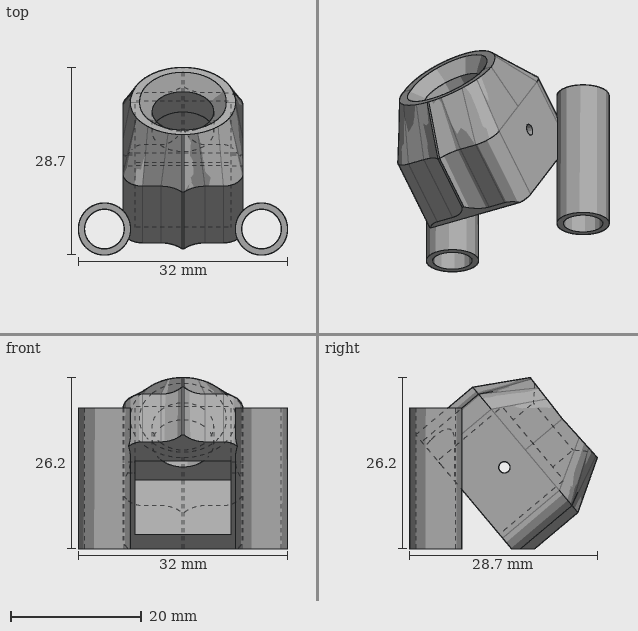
import cadquery as cq
import math

TUBE_DIAMETER = 8.0
TUBE_BORE = 6.0
TUBE_HEIGHT = 21.57
TUBE_SPACING = 24.0

TILT = 50.0
AXIS_OFFSET = 2.8
FRONT = 8.9
SHOULDER = 20.22
MOUTH = 27.9

HALF_WIDTH = 9.2
HALF_HEIGHT = 11.1
CORNER_RADIUS = 3.0
RIDGE_HEIGHT = 1.4
RIDGE_HALF_WIDTH = 3.35
CREST_HALF_WIDTH = 0.15

MOUTH_RADIUS = 8.0
MOUTH_DIP = 0.3
RIDGE_MOUTH_ANGLE = 73.5
FLAT_MOUTH_ANGLE = 48.0
SIDE_MOUTH_ANGLE = 28.0

COUNTERSINK_RADIUS = 6.9
BORE_RADIUS = 4.7
COUNTERSINK_END = 25.8
POCKET_SIZE = 14.65
POCKET_END = 21.75
PIN_DIAMETER = 1.7
PIN_STATION = 16.05


def quadrant_nodes():
    """Section points from the side middle up to the crest corner, with the arc midpoints."""
    corner_x = HALF_WIDTH - CORNER_RADIUS
    corner_y = HALF_HEIGHT - CORNER_RADIUS
    diagonal = CORNER_RADIUS * math.sqrt(0.5)
    flank_width = RIDGE_HALF_WIDTH - CREST_HALF_WIDTH
    flank_radius = (flank_width**2 + RIDGE_HEIGHT**2) / (2 * RIDGE_HEIGHT)
    mid_x = flank_width / 2
    mid_rise = flank_radius - math.sqrt(flank_radius**2 - mid_x**2)
    nodes = [
        (HALF_WIDTH, 0),
        (HALF_WIDTH, corner_y),
        (corner_x, HALF_HEIGHT),
        (RIDGE_HALF_WIDTH, HALF_HEIGHT),
        (CREST_HALF_WIDTH, HALF_HEIGHT + RIDGE_HEIGHT),
    ]
    arc_middles = [
        None,
        (corner_x + diagonal, corner_y + diagonal),
        None,
        (RIDGE_HALF_WIDTH - mid_x, HALF_HEIGHT + mid_rise),
    ]
    return nodes, arc_middles


def mouth_nodes():
    """Mouth circle points that pair with the section points, with the arc midpoints."""
    crest_angle = math.degrees(math.acos(CREST_HALF_WIDTH / MOUTH_RADIUS))
    angles = [0, SIDE_MOUTH_ANGLE, FLAT_MOUTH_ANGLE, RIDGE_MOUTH_ANGLE, crest_angle]
    middles = [(a + b) / 2 for a, b in zip(angles, angles[1:])]

    def on_circle(angle):
        turn = math.radians(angle)
        return (MOUTH_RADIUS * math.cos(turn), MOUTH_RADIUS * math.sin(turn))

    return [on_circle(a) for a in angles], [on_circle(a) for a in middles]


def closed_outline(nodes, arc_middles, station):
    """Mirror a quadrant into a closed wire at a station along the housing axis."""
    edges = []
    for sign_x, sign_y in [(1, 1), (-1, 1), (-1, -1), (1, -1)]:
        quadrant = []
        for start, middle, end in zip(nodes, arc_middles, nodes[1:]):
            points = [start, end] if middle is None else [start, middle, end]
            points = [cq.Vector(sign_x * x, sign_y * y, station) for x, y in points]
            if sign_x * sign_y < 0:
                points.reverse()
            make_edge = cq.Edge.makeLine if middle is None else cq.Edge.makeThreePointArc
            quadrant.append(make_edge(*points))
        if sign_x * sign_y < 0:
            quadrant.reverse()
        edges += quadrant
        if sign_x * sign_y > 0:
            crest_x, crest_y = nodes[-1]
            crest_start = cq.Vector(sign_x * crest_x, sign_y * crest_y, station)
            crest_end = cq.Vector(-sign_x * crest_x, sign_y * crest_y, station)
            edges.append(cq.Edge.makeLine(crest_start, crest_end))
    return cq.Wire.assembleEdges(edges)


def housing_shell():
    front_wire = closed_outline(*quadrant_nodes(), FRONT)
    shoulder_wire = closed_outline(*quadrant_nodes(), SHOULDER)
    mouth_wire = closed_outline(*mouth_nodes(), MOUTH)
    barrel = cq.Solid.extrudeLinear(front_wire, [], cq.Vector(0, 0, SHOULDER - FRONT))
    taper = cq.Solid.makeLoft([shoulder_wire, mouth_wire], True)
    return cq.Workplane(barrel).union(cq.Workplane(taper))


def mouth_dip():
    reach = 2 * MOUTH_RADIUS
    top = MOUTH + MOUTH_DIP
    return (
        cq.Workplane("YZ")
        .polyline([(-reach, top), (0, MOUTH - MOUTH_DIP), (reach, top)])
        .close()
        .extrude(HALF_WIDTH, both=True)
    )


def mouth_bore():
    slope = (COUNTERSINK_RADIUS - BORE_RADIUS) / (MOUTH - COUNTERSINK_END)
    overshoot = 0.32
    return (
        cq.Workplane("XZ")
        .moveTo(0, FRONT + POCKET_SIZE / 2)
        .lineTo(BORE_RADIUS, FRONT + POCKET_SIZE / 2)
        .lineTo(BORE_RADIUS, COUNTERSINK_END)
        .lineTo(COUNTERSINK_RADIUS + slope * overshoot, MOUTH + overshoot)
        .lineTo(0, MOUTH + overshoot)
        .close()
        .revolve(360, (0, 0), (0, 1))
    )


def front_pocket():
    return (
        cq.Workplane("XY", origin=(0, 0, FRONT))
        .rect(POCKET_SIZE, POCKET_SIZE)
        .extrude(POCKET_END - FRONT)
    )


def pin_hole():
    return (
        cq.Workplane("YZ")
        .center(0, PIN_STATION)
        .circle(PIN_DIAMETER / 2)
        .extrude(HALF_WIDTH, both=True)
    )


def tilted_housing():
    housing = housing_shell().cut(mouth_dip()).cut(mouth_bore()).cut(front_pocket()).cut(pin_hole())
    lean = math.radians(TILT)
    housing = housing.rotate((0, 0, 0), (1, 0, 0), -TILT).translate(
        (0, -AXIS_OFFSET * math.cos(lean), AXIS_OFFSET * math.sin(lean))
    )
    ground = cq.Workplane("XY").box(2 * MOUTH, 2 * MOUTH, MOUTH, centered=(True, True, False))
    return housing.intersect(ground)


def tube_cylinders(diameter):
    return (
        cq.Workplane("XY")
        .pushPoints([(-TUBE_SPACING / 2, 0), (TUBE_SPACING / 2, 0)])
        .circle(diameter / 2)
        .extrude(TUBE_HEIGHT)
    )


result = tilted_housing().union(tube_cylinders(TUBE_DIAMETER)).cut(tube_cylinders(TUBE_BORE))